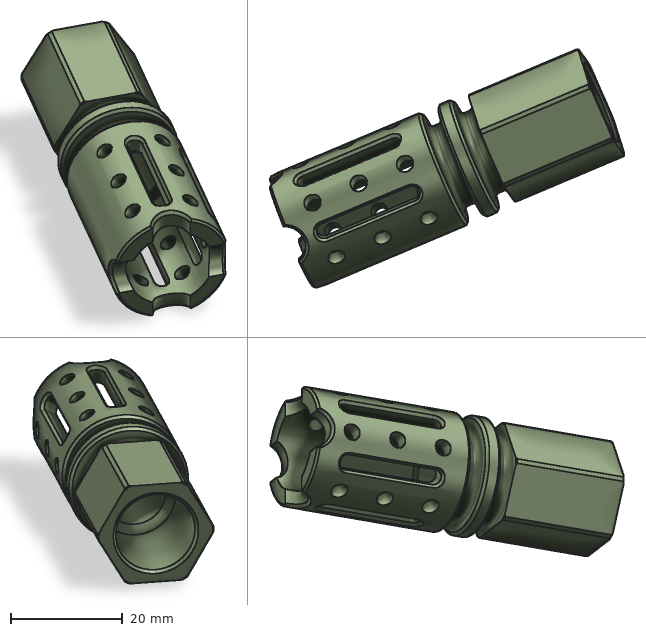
import cadquery as cq
import math

total_length = 60.45
hex_length = 21.4
groove_width = 3.0
collar_width = 2.95
collar_start = hex_length + groove_width
collar_end = collar_start + collar_width
barrel_start = collar_end + groove_width

outer_diameter = 21.8
outer_radius = outer_diameter / 2
hex_across_flats = 18.75
hex_turn = 30
hex_corner_radius = 10.6
hex_corner_chamfer = 0.2
groove_radius = 7.8
groove_fillet = 1.2
shoulder_chamfer = 0.55
muzzle_chamfer = 0.4

thread_diameter = 14.45
thread_radius = thread_diameter / 2
thread_chamfer = 0.55
thread_depth = 18.15
thread_tip_angle = 118
throat_radius = 5.55
chamber_start = 33.25
chamber_radius = 7.8

slot_angles = (0, 60, 120, 180)
slot_width = 2.8
slot_length = 19.95
slot_center = 45.45
hole_angles = (-30, 30, 90, 150, 210)
hole_diameter = 3.0
hole_center = 45.0
hole_spacing = 9.0
scallop_angles = (0, 90, 180, 270)
scallop_radius = 3.6
scallop_center = 61.55
opening_chamfer_depth = 0.5
opening_chamfer_width = 0.65

barrel_allowance = 9.05
seam_angle = 45
AXIS = ((0, 0, 0), (1, 0, 0))


def revolve_about_x(profile):
    """Close a half profile in the XY plane and turn it about the part's axis."""
    return profile.close().revolve(360, *AXIS)


def cut_around(body, tool, angles):
    """Cut copies of a tool that points along +Z, turned about X toward +Y."""
    for angle in angles:
        body = body.cut(tool.rotate(*AXIS, -angle))
    return body


def hex_end():
    """Hexagon with its corners and end tips trimmed by a chamfered cylinder."""
    prism = (
        cq.Workplane("YZ")
        .polygon(6, hex_across_flats, circumscribed=True)
        .extrude(hex_length)
        .rotate(*AXIS, hex_turn)
    )
    corner_envelope = (
        cq.Workplane("YZ")
        .circle(hex_corner_radius)
        .extrude(hex_length)
        .edges()
        .chamfer(hex_corner_chamfer)
    )
    return prism.intersect(corner_envelope)


def neck_and_collar():
    """Grooved core with the collar between the two grooves."""
    core_length = barrel_start - hex_length
    core = (
        cq.Workplane("YZ")
        .workplane(offset=hex_length)
        .circle(groove_radius + groove_fillet)
        .extrude(core_length)
    )
    collar = (
        cq.Workplane("YZ")
        .workplane(offset=collar_start)
        .circle(outer_radius)
        .extrude(collar_width)
        .edges()
        .chamfer(shoulder_chamfer)
    )
    body = core.union(collar)
    for start in (hex_length, collar_end):
        body = body.cut(groove(start))
    return body


def groove(start):
    """Ring with a flat floor and rounded lower corners."""
    end = start + groove_width
    top = groove_radius + groove_fillet
    return revolve_about_x(
        cq.Workplane("XY")
        .moveTo(start, top)
        .radiusArc((start + groove_fillet, groove_radius), -groove_fillet)
        .lineTo(end - groove_fillet, groove_radius)
        .radiusArc((end, top), -groove_fillet)
    )


def barrel():
    """Overlong hollow barrel with the slots and scallops cut and their rims chamfered."""
    blank_length = total_length + barrel_allowance - barrel_start
    blank = (
        cq.Workplane("YZ")
        .workplane(offset=barrel_start)
        .circle(outer_radius)
        .extrude(blank_length)
        .faces("<X")
        .chamfer(shoulder_chamfer)
        .rotate(*AXIS, seam_angle)
    )
    slot = (
        cq.Workplane("XY")
        .center(slot_center, 0)
        .slot2D(slot_length, slot_width)
        .extrude(2 * outer_radius)
    )
    scallop = (
        cq.Workplane("XY")
        .center(scallop_center, 0)
        .circle(scallop_radius)
        .extrude(2 * outer_radius)
    )
    bore = revolve_about_x(
        cq.Workplane("XY")
        .moveTo(chamber_start, 0)
        .lineTo(chamber_start, chamber_radius)
        .lineTo(total_length + barrel_allowance, chamber_radius)
        .lineTo(total_length + barrel_allowance, 0)
    )
    body = cut_around(blank.cut(bore), slot, slot_angles)
    body = cut_around(body, scallop, scallop_angles)
    return chamfer_rims(body)


def chamfer_rims(body):
    """Chamfer every opening in the outer cylindrical face, which is the widest one."""
    cylinders = body.faces("%CYLINDER").vals()
    skin = max(cylinders, key=lambda face: face.BoundingBox().ylen)
    rims = [edge for wire in skin.innerWires() for edge in wire.Edges()]
    solid = body.solids().val()
    return cq.Workplane(solid.chamfer(opening_chamfer_depth, opening_chamfer_width, rims))


def trim_muzzle(body):
    """Cut the barrel to length and chamfer its outer end edge."""
    envelope = (
        cq.Workplane("YZ")
        .circle(2 * outer_radius)
        .extrude(total_length - muzzle_chamfer)
    )
    nose = (
        cq.Workplane("YZ")
        .workplane(offset=total_length - muzzle_chamfer)
        .circle(outer_radius)
        .workplane(offset=muzzle_chamfer)
        .circle(outer_radius - muzzle_chamfer)
        .loft(ruled=True)
    )
    return body.intersect(envelope.union(nose))


def drill_holes(body):
    """Drill rings of radial holes along the barrel."""
    for index in (-1, 0, 1):
        hole = (
            cq.Workplane("XY")
            .center(hole_center + index * hole_spacing, 0)
            .circle(hole_diameter / 2)
            .extrude(2 * outer_radius)
        )
        body = cut_around(body, hole, hole_angles)
    return body


def through_bore():
    """Chamfered thread bore that tapers down to the throat."""
    half_tip_angle = math.radians(thread_tip_angle / 2)
    taper_length = (thread_radius - throat_radius) / math.tan(half_tip_angle)
    return revolve_about_x(
        cq.Workplane("XY")
        .lineTo(0, thread_radius + thread_chamfer)
        .lineTo(thread_chamfer, thread_radius)
        .lineTo(thread_depth, thread_radius)
        .lineTo(thread_depth + taper_length, throat_radius)
        .lineTo(chamber_start, throat_radius)
        .lineTo(chamber_start, 0)
    )


result = hex_end().union(neck_and_collar()).union(drill_holes(trim_muzzle(barrel())))
result = result.cut(through_bore())